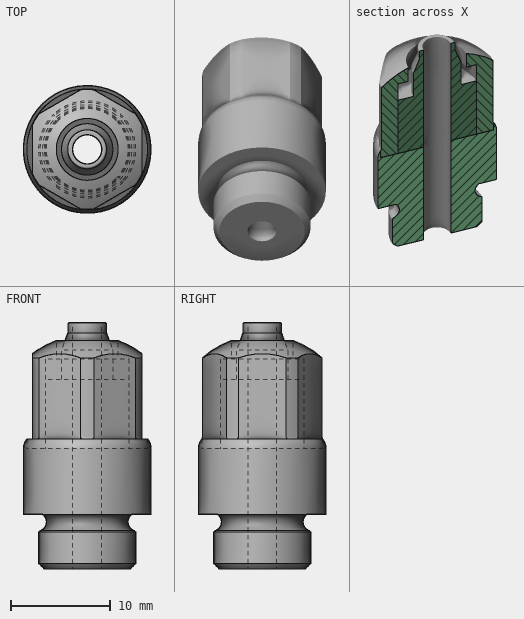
import cadquery as cq
import math

thread_top = 3.7
groove_mid = 4.72
flange_bottom = 5.5
lip_bottom = 12.1
lip_top = 13.05
collar_top = 19.0
chamber_top = 21.05
tube_cone_bottom = 21.95
nut_top = 22.9
tube_cone_top = 23.65
tube_top = 24.7

thread_dia = 9.73
thread_end_chamfer = 0.58
thread_back_chamfer = 0.15
groove_arc_radius = 1.0
groove_root_dia = 8.2
sleeve_dia = 12.8
lip_opening_dia = 12.1

hex_sides = 6
hex_across_flats = 11.0
hex_across_corners = hex_across_flats / math.cos(math.pi / hex_sides)
turned_corner_dia = 12.0
root_fillet_height = 0.2
dome_radius = 9.0
nut_hole_dia = 6.2
foot_dia = lip_opening_dia

tube_tip_dia = 3.9
tube_bore_dia = 2.9
tube_stem_dia = 5.15
tube_tip_rounding = 0.2
collar_dia = 8.38


def turned(profile):
    """Turn a profile of (radius, height) points, closed by a straight line, about the Z axis."""
    return profile.close().revolve(360, (0, 0, 0), (0, 1, 0))


def arc_offset(arc_radius, distance):
    """How far a circular arc has moved off its tangent line at a distance along that line."""
    return arc_radius - math.sqrt(arc_radius**2 - distance**2)


def make_housing():
    bore_radius = tube_bore_dia / 2
    thread_radius = thread_dia / 2
    groove_root_radius = groove_root_dia / 2
    groove_bottom = thread_top + thread_back_chamfer
    groove_bottom_radius = thread_radius - thread_back_chamfer
    groove_top_radius = groove_root_radius + arc_offset(groove_arc_radius, flange_bottom - groove_mid)
    return turned(
        cq.Workplane("XZ")
        .moveTo(bore_radius, 0)
        .lineTo(thread_radius - thread_end_chamfer, 0)
        .lineTo(thread_radius, thread_end_chamfer)
        .lineTo(thread_radius, thread_top)
        .lineTo(groove_bottom_radius, groove_bottom)
        .threePointArc((groove_root_radius, groove_mid), (groove_top_radius, flange_bottom))
        .lineTo(sleeve_dia / 2, flange_bottom)
        .lineTo(sleeve_dia / 2, lip_bottom)
        .tangentArcPoint((lip_opening_dia / 2, lip_top), relative=False)
        .lineTo(lip_opening_dia / 2, lip_bottom)
        .lineTo(bore_radius, lip_bottom)
    )


def make_nut():
    corner_radius = turned_corner_dia / 2
    hole_radius = nut_hole_dia / 2
    dome_centre = nut_top - math.sqrt(dome_radius**2 - hole_radius**2)

    def dome_point(radius):
        return radius, dome_centre + math.sqrt(dome_radius**2 - radius**2)

    body = turned(
        cq.Workplane("XZ")
        .moveTo(*dome_point(hole_radius))
        .threePointArc(dome_point((hole_radius + corner_radius) / 2), dome_point(corner_radius))
        .lineTo(corner_radius, lip_top + root_fillet_height)
        .tangentArcPoint((foot_dia / 2, lip_top), relative=False)
        .lineTo(foot_dia / 2, lip_bottom)
        .lineTo(collar_dia / 2, lip_bottom)
        .lineTo(collar_dia / 2, chamber_top)
        .lineTo(hole_radius, chamber_top)
    )

    outside_flats = (
        cq.Workplane("XY", origin=(0, 0, lip_top))
        .transformed(rotate=(0, 0, 180 / hex_sides))
        .circle(sleeve_dia / 2)
        .polygon(hex_sides, hex_across_corners)
        .extrude(nut_top - lip_top)
    )
    return body.cut(outside_flats)


def make_tube():
    bore_radius = tube_bore_dia / 2
    tip_radius = tube_tip_dia / 2
    stem_radius = tube_stem_dia / 2
    return turned(
        cq.Workplane("XZ")
        .moveTo(bore_radius, lip_bottom)
        .lineTo(collar_dia / 2, lip_bottom)
        .lineTo(collar_dia / 2, collar_top)
        .lineTo(stem_radius, collar_top)
        .lineTo(stem_radius, tube_cone_bottom)
        .lineTo(tip_radius, tube_cone_top)
        .lineTo(tip_radius, tube_top - tube_tip_rounding)
        .tangentArcPoint((tip_radius - tube_tip_rounding, tube_top), relative=False)
        .lineTo(bore_radius, tube_top)
    )


housing = make_housing()
nut = make_nut()
tube = make_tube()

result = cq.Compound.makeCompound([housing.val(), nut.val(), tube.val()])